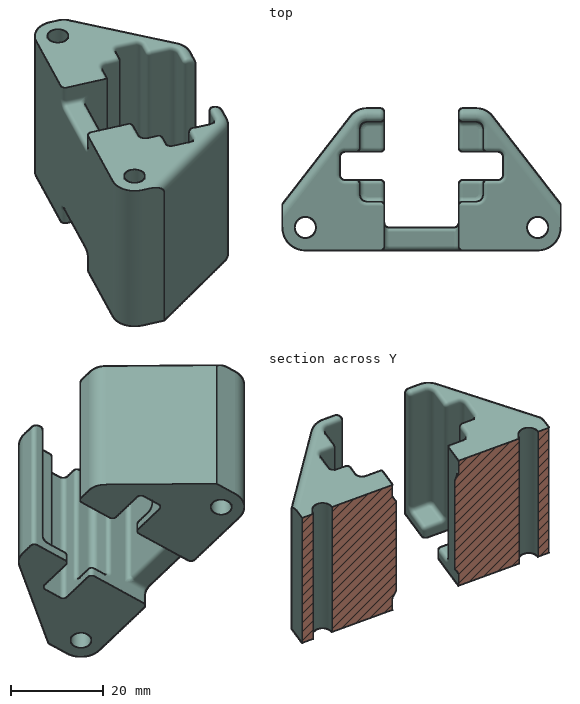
import cadquery as cq
import math

width = 60.0
depth = 30.7
height = 38.0

front_corner_radius = 5.0
side_flat_top = 10.0
wall = 3.0
pocket_corner_radius = 1.5
shoulder_radius = pocket_corner_radius + wall

channel_half_width = 8.0
channel_back = 5.0
slot_half_width = 17.5
slot_front = 15.25
slot_back = 21.25
pocket_half_width = 13.25
pocket_front = 10.55
pocket_back = depth - wall
pocket_floor = wall

notch_depth = 4.5
hole_diameter = 4.5
outer_rim_radius = 2.0
inner_radius = 1.0
edge_radius = 0.95
notch_edge_radius = 1.0
overlap = 3.0
tolerance = 0.0005


def box_between(x_half, y_min, y_max, z_min, z_max):
    """Box symmetric about X = 0."""
    return (
        cq.Workplane("XY", origin=(0, 0, z_min))
        .rect(2 * x_half, y_max - y_min)
        .extrude(z_max - z_min)
        .translate((0, (y_min + y_max) / 2, 0))
    )


def outline_prism():
    """Full-height prism: rounded front corners, slanted sides and rounded shoulders."""
    side = width / 2
    shoulder_x = pocket_half_width - pocket_corner_radius
    shoulder_y = depth - shoulder_radius
    run = side - shoulder_x
    rise = shoulder_y - side_flat_top
    slant = math.atan2(rise, run) + math.asin(shoulder_radius / math.hypot(run, rise))

    def on_shoulder(angle):
        return (
            shoulder_x + shoulder_radius * math.sin(angle),
            shoulder_y + shoulder_radius * math.cos(angle),
        )

    tangent_x, tangent_y = on_shoulder(slant)
    middle_x, middle_y = on_shoulder(slant / 2)
    prism = (
        cq.Workplane("XY")
        .moveTo(-side, 0)
        .lineTo(side, 0)
        .lineTo(side, side_flat_top)
        .lineTo(tangent_x, tangent_y)
        .threePointArc((middle_x, middle_y), (shoulder_x, depth))
        .lineTo(-shoulder_x, depth)
        .threePointArc((-middle_x, middle_y), (-tangent_x, tangent_y))
        .lineTo(-side, side_flat_top)
        .close()
        .extrude(height)
    )
    prism = prism.faces("<Y").edges("|Z").fillet(front_corner_radius)
    return prism.edges(">Z").edges(">Y").fillet(outer_rim_radius)


def slot_prism():
    """Full-height cross slot with rounded ends."""
    slot = box_between(slot_half_width, slot_front, slot_back, 0, height)
    return slot.edges("|Z").fillet(inner_radius)


def pocket_prism():
    """Pocket above the floor, with rounded corners and a concave round along its floor."""
    pocket = box_between(pocket_half_width, pocket_front, pocket_back, pocket_floor, height)
    pocket = pocket.edges("|Z").fillet(pocket_corner_radius)
    return pocket.faces("<Z").edges().fillet(inner_radius)


def edges_within(solid, x_half, y_min, y_max, z_min, z_max):
    """Edges that lie completely inside a box symmetric about X = 0."""

    def is_inside(edge):
        bounds = edge.BoundingBox()
        inside_x = max(-bounds.xmin, bounds.xmax) < x_half + tolerance
        inside_y = y_min - tolerance < bounds.ymin and bounds.ymax < y_max + tolerance
        inside_z = z_min - tolerance < bounds.zmin and bounds.zmax < z_max + tolerance
        return inside_x and inside_y and inside_z

    return [edge for edge in solid.edges().vals() if is_inside(edge)]


def on_channel_side(edge):
    """True for an edge lying in one of the two side planes of the channel."""
    bounds = edge.BoundingBox()
    return bounds.xlen < tolerance and abs(abs(bounds.center.x) - channel_half_width) < tolerance


def on_slot_side(edge):
    """True for an edge lying in the front or back plane of the cross slot."""
    bounds = edge.BoundingBox()
    offset = min(abs(bounds.center.y - slot_front), abs(bounds.center.y - slot_back))
    return bounds.ylen < tolerance and offset < tolerance


def is_rounded(edge):
    """True for the top rim of the pocket and slot, and for their edges on channel and slot walls."""
    bounds = edge.BoundingBox()
    if on_channel_side(edge):
        return bounds.zmax > tolerance
    if on_slot_side(edge):
        return bounds.zmin > pocket_floor - tolerance
    in_slot_or_pocket = pocket_front - tolerance < bounds.ymin and bounds.ymax < pocket_back + tolerance
    return bounds.zmin > height - tolerance and in_slot_or_pocket


def hollow_body():
    """Body with pocket, slot and channel, and their exposed edges rounded."""
    channel = box_between(channel_half_width, channel_back, depth + overlap, 0, height)
    channel = channel.edges("|Z and <Y").fillet(inner_radius)
    body = outline_prism().cut(pocket_prism()).cut(slot_prism()).cut(channel)
    near_opening = edges_within(body, slot_half_width, pocket_front, depth, 0, height)
    return body.newObject([edge for edge in near_opening if is_rounded(edge)]).fillet(edge_radius)


def cut_notch(body, z_open, z_bottom):
    """Notch in the web, open at z_open and ending at z_bottom, with rounded corners and edges."""
    z_min = min(z_open, z_bottom)
    z_max = max(z_open, z_bottom)
    notch = box_between(channel_half_width, -overlap, channel_back + inner_radius, z_min, z_max)
    inner_face = "<Z" if z_bottom < z_open else ">Z"
    notch = notch.faces(inner_face).edges("|Y").fillet(inner_radius)
    body = body.cut(notch)

    front_edges = edges_within(body, channel_half_width, 0, 0, z_min, z_max)
    body = body.newObject(front_edges).fillet(notch_edge_radius)
    straight_half_width = channel_half_width - inner_radius
    back_edge = edges_within(body, straight_half_width, channel_back, channel_back, z_bottom, z_bottom)
    return body.newObject(back_edge).fillet(edge_radius)


result = hollow_body()
result = cut_notch(result, height, height - notch_depth)
result = cut_notch(result, 0, notch_depth)

hole_x = width / 2 - front_corner_radius
holes = (
    cq.Workplane("XY")
    .pushPoints([(-hole_x, front_corner_radius), (hole_x, front_corner_radius)])
    .circle(hole_diameter / 2)
    .extrude(height)
)
result = result.cut(holes)